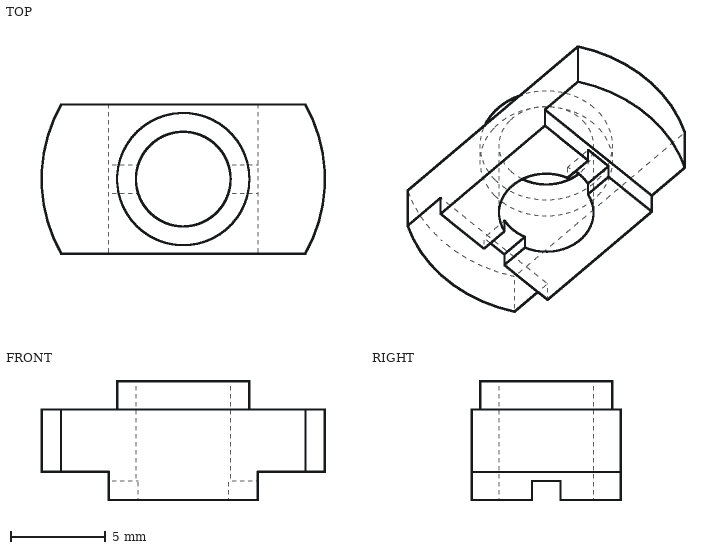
import cadquery as cq
import math

body_length = 15.0
body_width = 7.9
body_height = 3.3
end_radius = 8.0
foot_length = body_width
foot_height = 1.5
collar_diameter = 7.0
collar_height = 1.5
bore_diameter = 5.0
slot_width = 1.5
slot_depth = 1.0

body_bottom = foot_height
body_top = body_bottom + body_height
part_top = body_top + collar_height


def make_body():
    """Flat-sided plate with a convex arc at each end."""
    half_length = body_length / 2
    half_width = body_width / 2
    crown_height = end_radius - math.sqrt(end_radius**2 - half_width**2)
    corner_x = half_length - crown_height
    return (
        cq.Workplane("XY", origin=(0, 0, body_bottom))
        .moveTo(-corner_x, -half_width)
        .lineTo(corner_x, -half_width)
        .threePointArc((half_length, 0), (corner_x, half_width))
        .lineTo(-corner_x, half_width)
        .threePointArc((-half_length, 0), (-corner_x, -half_width))
        .close()
        .extrude(body_height)
    )


def make_foot():
    """Square foot below the body, with a slot along X in its underside."""
    foot = cq.Workplane("XY").rect(foot_length, body_width).extrude(foot_height)
    slot = cq.Workplane("XY").rect(foot_length, slot_width).extrude(slot_depth)
    return foot.cut(slot)


def make_collar():
    """Round collar on top of the body."""
    return (
        cq.Workplane("XY", origin=(0, 0, body_top))
        .circle(collar_diameter / 2)
        .extrude(collar_height)
    )


def make_bore():
    """Through bore along the part's axis."""
    return cq.Workplane("XY").circle(bore_diameter / 2).extrude(part_top)


result = make_body().union(make_foot()).union(make_collar()).cut(make_bore())